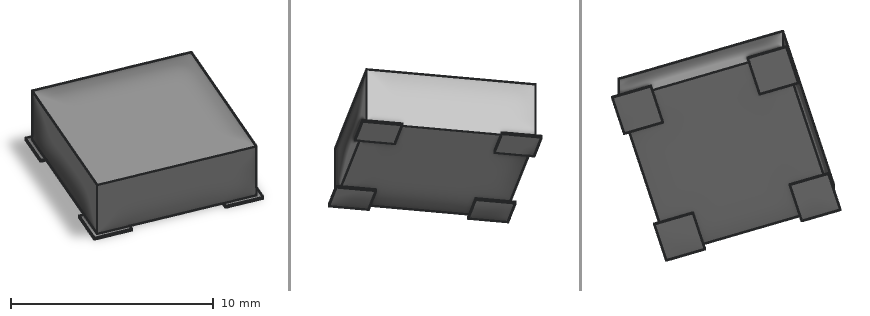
import cadquery as cq

overall_width = 9.0
overall_height = 3.1
housing_width = 8.5
pad_width = 2.0
pad_thickness = 0.1

housing_height = overall_height - pad_thickness
pad_offset = (overall_width - pad_width) / 2


def make_housing():
    """Plain square block resting on top of the four pads."""
    return (
        cq.Workplane("XY")
        .workplane(offset=pad_thickness)
        .rect(housing_width, housing_width)
        .extrude(housing_height)
    )


def make_pad(side_x, side_y):
    """Thin square pad under the corner given by the signs of X and Y."""
    return (
        cq.Workplane("XY")
        .center(side_x * pad_offset, side_y * pad_offset)
        .rect(pad_width, pad_width)
        .extrude(pad_thickness)
    )


housing = make_housing()
pads = [make_pad(side_x, side_y) for side_x in (-1, 1) for side_y in (-1, 1)]

result = cq.Compound.makeCompound([housing.val(), *[pad.val() for pad in pads]])